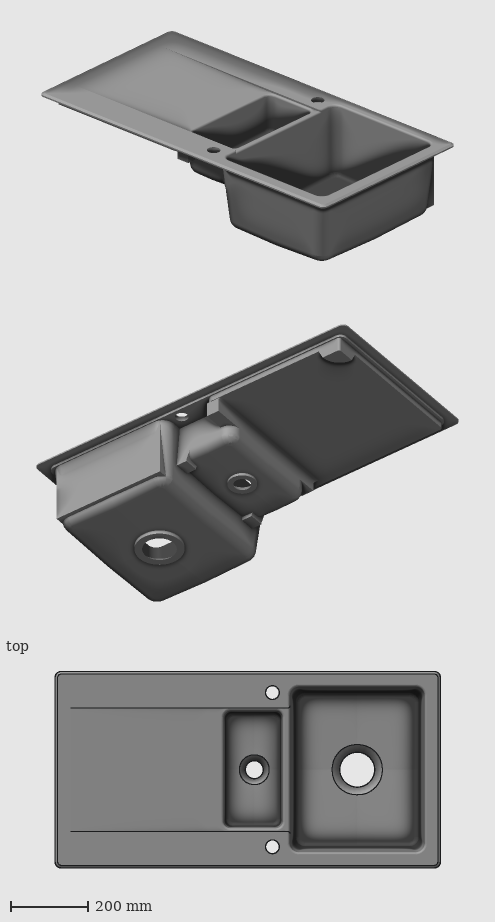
import cadquery as cq

SMALL = 0.1
FACING_DOWN = -0.9

length = 1000.0
width = 510.0
height = 221.0
plate_corner = 16.0
rim_depth = 8.0
rim_chamfer_in = 7.0
rim_chamfer_down = 4.0

step_x = (-474.0, 474.0)
step_half_width = 229.0
step_bottom = -15.0
step_corner = 20.0
tray_x = (-463.0, -29.0)
tray_half_width = 225.0
tray_bottom = -31.0
tray_left_corner = 7.0
tray_right_corner = 25.0

drainer_start = -458.0
drainer_half_width = 160.0
drainer_depth = 5.0

wall_draft = 5.0
floor_slope = 0.03
boss_overlap = 7.0
funnel_clearance = 5.0
lip_radius = 6.0

large_x = (109.0, 460.0)
large_half_width = 215.0
large_floor = -203.0
large_corner = 24.0
large_floor_radius = 12.0
large_hull_x = (97.0, 472.0)
large_hull_half_width = 226.0
large_hull_bottom = -213.0
large_hull_corner = 36.0
large_hull_radius = 27.0
large_drain_x = 284.0
large_drain_hole = 90.0
large_drain_seat = 130.0

small_x = (-63.0, 92.0)
small_half_width = 153.0
small_floor = -113.0
small_corner = 18.0
small_floor_radius = 10.0
small_draft = 4.0
small_hull_x = (-71.0, 140.0)
small_hull_half_width = 164.0
small_hull_bottom = -127.0
small_hull_corner = 34.0
small_hull_radius = 25.0
small_hull_draft = 0
small_drain_x = 17.0
small_drain_hole = 46.0
small_drain_seat = 77.0
small_drain_bottom = -133.0

tap_hole = 35.0
tap_x = 64.0
tap_y = 200.0

foot_bottom = -57.0
foot_bottom_radius = 54.0
foot_flare = 13.0
wing_x = (-71.0, -34.0)
wing_y = (-191.0, 223.0)
wing_bottom = -73.0
wing_flare = 15.0
wing_flare_bottom = -48.0
wing_fillet = 7.0
gusset_x = (76.0, 115.0)
gusset_y = (121.0, small_hull_half_width)
gusset_shoulder_x = 63.0
gusset_shoulder_z = -96.0
gusset_bottom = -132.0
back_slab_start = 118.0
back_slab_y = 223.0
back_slab_bottom = -184.0


def span_box(xs, ys, zs):
    """Box between pairs of x, y and z limits."""
    size = (xs[1] - xs[0], ys[1] - ys[0], zs[1] - zs[0])
    return cq.Workplane("XY").box(*size, centered=False).translate((xs[0], ys[0], zs[0]))


def rounded_block(xs, half_width, top, bottom, corner, draft=0):
    """Block with rounded upright corners whose walls lean inward on the way down."""
    middle = ((xs[0] + xs[1]) / 2, 0, top)
    block = cq.Workplane("XY", origin=middle).rect(xs[1] - xs[0], 2 * half_width)
    block = block.extrude(bottom - top, taper=draft)
    return block.edges("not #Z").fillet(corner)


def floor_limit(drain_x, drain_z):
    """Solid above four planes that fall along x and along y toward the drain centre."""
    reach = length + width
    rise = floor_slope * reach
    drain = cq.Vector(drain_x, 0, drain_z)
    corners = [
        drain + cq.Vector(reach, 0, rise),
        drain + cq.Vector(0, reach, rise),
        drain + cq.Vector(-reach, 0, rise),
        drain + cq.Vector(0, -reach, rise),
    ]
    lift = cq.Vector(0, 0, reach)
    upper = [corner + lift for corner in corners]
    outlines = [upper]
    for i in range(len(corners)):
        j = (i + 1) % len(corners)
        outlines.append([corners[i], corners[j], drain])
        outlines.append([corners[i], corners[j], upper[j], upper[i]])
    wires = [cq.Wire.makePolygon(points, close=True) for points in outlines]
    shell = cq.Shell.makeShell([cq.Face.makeFromWires(wire) for wire in wires])
    return cq.Workplane(cq.Solid.makeSolid(shell))


def bowl_body(xs, half_width, top, bottom, corner, draft, bottom_radius, drain_x):
    """Drafted bowl shape with a rounded bottom edge and a floor that falls to the drain."""
    block = rounded_block(xs, half_width, top, bottom, corner, draft)
    block = block.intersect(floor_limit(drain_x, bottom))
    floor = block.faces().filter(lambda face: face.normalAt().z < FACING_DOWN)
    outer_edges = floor.edges().filter(lambda edge: edge.BoundingBox().zmin > bottom + SMALL)
    return block.newObject(outer_edges.vals()).fillet(bottom_radius)


def disc(x, y, diameter, top, bottom):
    return cq.Workplane("XY", origin=(x, y, bottom)).circle(diameter / 2).extrude(top - bottom)


def drain_cut(x, hole, seat, floor, bottom):
    """Funnel from the seat diameter at the floor down to the hole diameter at the bottom."""
    seat_z = floor + floor_slope * seat / 2
    growth = (seat - hole) / 2 / (seat_z - bottom)
    clear_z = seat_z + funnel_clearance
    clear_radius = seat / 2 + growth * funnel_clearance
    funnel = cq.Solid.makeCone(hole / 2, clear_radius, clear_z - bottom)
    return cq.Workplane(funnel).translate((x, 0, bottom))


def tray_block(top, bottom):
    """Block on the tray outline, with tight left corners and wide right corners."""
    block = span_box(tray_x, (-tray_half_width, tray_half_width), (bottom, top))
    block = block.edges("|Z and <X").fillet(tray_left_corner)
    return block.edges("|Z and >X").fillet(tray_right_corner)


def plate():
    half_length = length / 2
    rim = rounded_block((-half_length, half_length), width / 2, 0, -rim_depth, plate_corner)
    rim = rim.faces(">Z").edges().chamfer(rim_chamfer_down, rim_chamfer_in)
    step = rounded_block(step_x, step_half_width, -rim_depth, step_bottom, step_corner)
    return rim.union(step).union(tray_block(step_bottom, tray_bottom))


def hulls():
    large = bowl_body(
        large_hull_x, large_hull_half_width, step_bottom, large_hull_bottom, large_hull_corner,
        wall_draft, large_hull_radius, large_drain_x,
    )
    small = bowl_body(
        small_hull_x, small_hull_half_width, step_bottom, small_hull_bottom, small_hull_corner,
        small_hull_draft, small_hull_radius, small_drain_x,
    )
    large_boss = disc(large_drain_x, 0, large_drain_seat, large_hull_bottom + boss_overlap, -height)
    small_boss = disc(small_drain_x, 0, small_drain_seat, small_hull_bottom + boss_overlap, small_drain_bottom)
    return large.union(small).union(large_boss).union(small_boss)


def foot():
    """Quarter cone under the back left tray corner, flaring toward the tray."""
    top_radius = foot_bottom_radius + foot_flare
    cone = cq.Solid.makeCone(foot_bottom_radius, top_radius, tray_bottom - foot_bottom)
    cone = cq.Workplane(cone).translate((tray_x[0], tray_half_width, foot_bottom))
    return cone.intersect(tray_block(tray_bottom, foot_bottom))


def wing():
    """Cross rib beside the small bowl with a flared front end."""
    profile = [
        (wing_y[1], tray_bottom),
        (wing_y[1], wing_bottom),
        (wing_y[0], wing_bottom),
        (wing_y[0], wing_flare_bottom),
        (wing_y[0] - wing_flare, tray_bottom),
    ]
    rib = cq.Workplane("YZ", origin=(wing_x[0], 0, 0)).polyline(profile).close()
    return rib.extrude(wing_x[1] - wing_x[0])


def gussets():
    """Two plates filling the gap between the bowls, flush with the sides of the small bowl."""
    profile = [
        (gusset_shoulder_x, step_bottom),
        (gusset_shoulder_x, gusset_shoulder_z),
        (gusset_x[0], small_hull_bottom),
        (gusset_x[0], gusset_bottom),
        (gusset_x[1], gusset_bottom),
        (gusset_x[1], step_bottom),
    ]
    outline = cq.Workplane("XZ", origin=(0, gusset_y[1], 0)).polyline(profile).close()
    back = outline.extrude(gusset_y[1] - gusset_y[0])
    return back.union(back.mirror("XZ"))


def back_slab():
    """Flat upright wall over the drafted back of the large bowl."""
    slab_end = large_hull_x[0] + large_hull_x[1] - back_slab_start
    return span_box((back_slab_start, slab_end), (0, back_slab_y), (back_slab_bottom, step_bottom))


def drainer_recess():
    profile = [
        (drainer_start, 0),
        (small_x[0], -drainer_depth),
        (large_x[0] + lip_radius, -drainer_depth),
        (large_x[0] + lip_radius, 0),
    ]
    return cq.Workplane("XZ").polyline(profile).close().extrude(drainer_half_width, both=True)


def bowl_cavities():
    large = bowl_body(
        large_x, large_half_width, 0, large_floor, large_corner,
        wall_draft, large_floor_radius, large_drain_x,
    )
    small = bowl_body(
        small_x, small_half_width, 0, small_floor, small_corner,
        small_draft, small_floor_radius, small_drain_x,
    )
    return large.union(small)


def round_lip(body, xs, half_width):
    """Round the upper edges of one bowl opening, at rim level and at recess level."""
    zone = cq.selectors.BoxSelector(
        (xs[0] - SMALL, -half_width - SMALL, -drainer_depth - SMALL),
        (xs[1] + SMALL, half_width + SMALL, SMALL),
        boundingbox=True,
    )
    return body.edges(zone).fillet(lip_radius)


def wing_blend(body):
    """Round the inner corner between the wing and the tray underside."""
    middle = (wing_x[0], 0, tray_bottom)
    return body.edges(cq.selectors.NearestToPointSelector(middle)).fillet(wing_fillet)


body = plate().union(hulls()).union(foot()).union(wing()).union(gussets()).union(back_slab())
body = wing_blend(body)
body = body.cut(drainer_recess()).cut(bowl_cavities())
body = round_lip(body, large_x, large_half_width)
body = round_lip(body, small_x, small_half_width)
body = body.cut(drain_cut(large_drain_x, large_drain_hole, large_drain_seat, large_floor, -height))
body = body.cut(drain_cut(small_drain_x, small_drain_hole, small_drain_seat, small_floor, small_drain_bottom))
for side in (-1, 1):
    body = body.cut(disc(tap_x, side * tap_y, tap_hole, 0, -height))
result = body